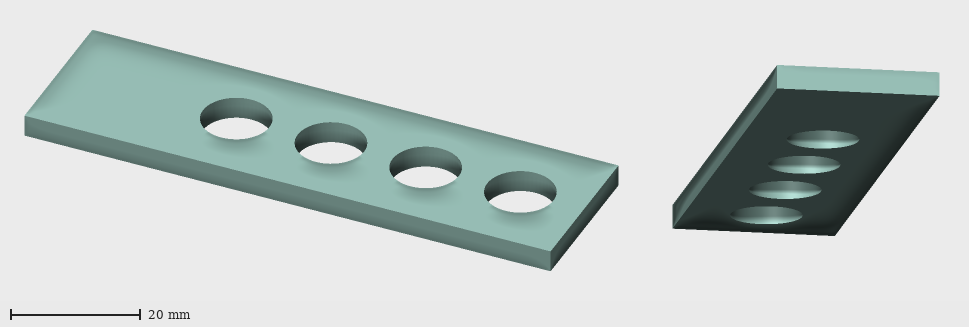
import cadquery as cq

length = 88.9
width = 25.4
thickness = 3.7

hole_diameter = 11.2
hole_count = 4
hole_pitch = 16.0
end_margin = 10.85

last_hole_x = length / 2 - end_margin
hole_centers = [(last_hole_x - i * hole_pitch, 0) for i in range(hole_count)]

plate = cq.Workplane("XY").box(length, width, thickness)

result = (
    plate.faces(">Z")
    .workplane()
    .pushPoints(hole_centers)
    .hole(hole_diameter)
)